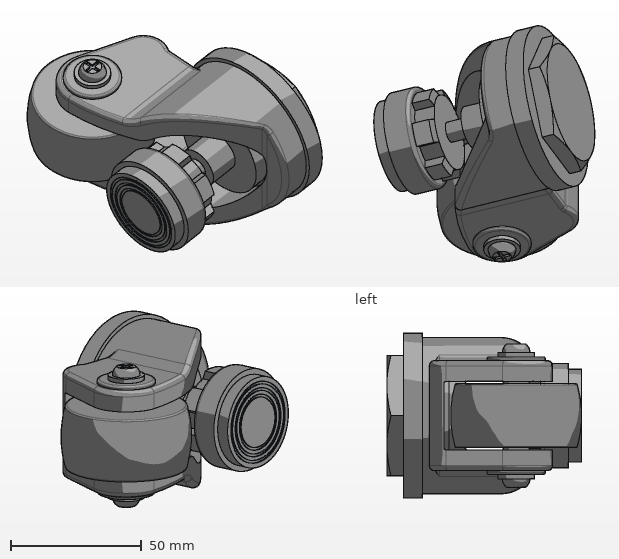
import cadquery as cq
import math


total_length = 104.5
cap_diameter = 63.0
wheel_radius = 25.0
wheel_x = cap_diameter / 2 + wheel_radius - total_length

hex_top = 49.3
cap_top = 43.1
cap_bottom = 35.7
hex_across_flats = 46
hex_bevel_angle = 24

housing_radius = 29.9
fork_half_width = 21.0
flare_radius = 9.8
fork_top = 31.2
edge_fillet = 2.0
arm_end_radius = 13.9
lobe_radius = 10.0
lobe_x = wheel_x + 5.1
lobe_y = 23.1
belly_start_angle = math.radians(1)
belly_middle = (-7.0, -0.8)
belly_end_x = 19.2
rear_bottom = 24
root_fillet = 2.1

slot_half_width = 13.1
slot_ceiling = 27.6
pocket_radius = 20.2
pocket_ceiling = 25.7
crown_radius = 20.8
slot_corner_fillet = 0.8
slot_mouth_fillet = 9.0

boss_radius = 19.0
boss_bottom = 19.3
collar_radius = 8.2
collar_bottom = 7.1
stem_radius = 4.0
knob_top = -1.1
knob_radius = 17.8
knob_core_radius = 14.6
knob_lobe_width = 9.0
knob_lobes = 6
knob_chamfer_height = 1.1
knob_chamfer_width = 2.9
foot_radius = 20.0
foot_top = -9.3
foot_fillet = 1.5
pad_radius = 17.8
pad_top = -20.0
pad_bottom = -wheel_radius
ring_groove_radii = (15.9, 13.4, 10.9)
ring_groove_width = 1
ring_groove_depth = 0.5

wheel_half_width = 12.2
wheel_side_radius = 23.2
wheel_edge_fillet = 0.7

spacer_radius = 5.0
washer_radius = 11.2
washer_top = 22.5
washer_fillet = 0.9
bolt_collar_radius = 7.0
bolt_collar_top = 24.1
bolt_head_radius = 5.3
bolt_head_flat_radius = 3.6
bolt_head_top = 27.4
bolt_head_bulge = 0.6
cross_length = 6.0
cross_width = 1.3
cross_depth = 0.8


def disc(radius, bottom, top):
    """Cylinder on the swivel axis between two heights along Y."""
    return cq.Workplane("XZ", origin=(0, top, 0)).circle(radius).extrude(top - bottom)


def axle_disc(radius, start, end):
    """Cylinder on the wheel axle between two positions along Z."""
    return cq.Workplane("XY", origin=(wheel_x, 0, start)).circle(radius).extrude(end - start)


def fork_side_shape():
    """Fork outline seen along the axle, extruded through the full housing width."""
    lobe_dx = lobe_x - wheel_x
    centre_distance = math.hypot(lobe_dx, lobe_y)
    centre_angle = math.atan2(lobe_y, lobe_dx)
    tangent_angle = centre_angle + math.acos((arm_end_radius - lobe_radius) / centre_distance)

    def on_arm(angle):
        return (wheel_x + arm_end_radius * math.cos(angle), arm_end_radius * math.sin(angle))

    def on_lobe(angle):
        return (lobe_x + lobe_radius * math.cos(angle), lobe_y + lobe_radius * math.sin(angle))

    lobe_end_angle = math.asin((fork_top - lobe_y) / lobe_radius)
    belly_angle = 1.5 * math.pi + belly_start_angle
    return (
        cq.Workplane("XY", origin=(0, 0, -housing_radius))
        .moveTo(housing_radius, fork_top)
        .lineTo(*on_lobe(lobe_end_angle))
        .threePointArc(on_lobe(math.pi / 2), on_lobe(tangent_angle))
        .lineTo(*on_arm(tangent_angle))
        .threePointArc(on_arm((tangent_angle + belly_angle) / 2), on_arm(belly_angle))
        .threePointArc(belly_middle, (belly_end_x, rear_bottom))
        .lineTo(housing_radius, rear_bottom)
        .close()
        .extrude(2 * housing_radius)
        .edges(cq.selectors.NearestToPointSelector((belly_end_x, rear_bottom, 0)))
        .fillet(root_fillet)
        .edges(cq.selectors.NearestToPointSelector((*on_lobe(lobe_end_angle), 0)))
        .fillet(root_fillet)
    )


def fork_plan_shape():
    """Fork outline seen along the swivel axis: straight arms flaring into the round housing."""
    flare_z = fork_half_width + flare_radius
    centre_reach = housing_radius + flare_radius
    flare_x = -math.sqrt(centre_reach**2 - flare_z**2)
    join = (flare_x * housing_radius / centre_reach, flare_z * housing_radius / centre_reach)
    arm_front = wheel_x - arm_end_radius
    middle_angle = (math.atan2(join[1] - flare_z, join[0] - flare_x) - math.pi / 2) / 2
    middle = (
        flare_x + flare_radius * math.cos(middle_angle),
        flare_z + flare_radius * math.sin(middle_angle),
    )
    return (
        cq.Workplane("XZ", origin=(0, hex_top, 0))
        .moveTo(arm_front, -fork_half_width)
        .lineTo(flare_x, -fork_half_width)
        .threePointArc((middle[0], -middle[1]), (join[0], -join[1]))
        .threePointArc((housing_radius, 0), join)
        .threePointArc(middle, (flare_x, fork_half_width))
        .lineTo(arm_front, fork_half_width)
        .close()
        .extrude(2 * hex_top)
    )


def housing():
    """Fork with rounded side edges, joined to the round housing under the cap."""
    fork = fork_side_shape().intersect(fork_plan_shape())
    fork = fork.edges("not (|Y or |Z)").fillet(edge_fillet)
    neck = disc(housing_radius, fork_top - edge_fillet, cap_bottom)
    return fork.union(neck).union(neck_root()).cut(slot_and_pocket())


def neck_root():
    """Concave fillet between the flat top of the fork and the round neck."""
    ring = (
        cq.Workplane("XY")
        .moveTo(housing_radius + root_fillet, fork_top)
        .radiusArc((housing_radius, fork_top + root_fillet), root_fillet)
        .lineTo(pocket_radius, fork_top + root_fillet)
        .lineTo(pocket_radius, fork_top)
        .close()
        .revolve(360, (0, 0), (0, 1))
    )
    flat_width = 2 * (fork_half_width - edge_fillet)
    over_fork = cq.Workplane("XY").box(-wheel_x, 2 * hex_top, flat_width)
    return ring.intersect(over_fork.translate((wheel_x / 2, 0, 0)))


def slot_block(bottom, top):
    """Block as wide as the wheel slot, reaching from beyond the arm ends to the swivel axis."""
    length = -2 * wheel_x
    block = cq.Workplane("XY").box(length, top - bottom, 2 * slot_half_width)
    return block.translate((-length / 2, (top + bottom) / 2, 0))


def slot_and_pocket():
    """Space for the wheel opening into the round swivel pocket, with a step in the slot ceiling."""
    lower = slot_block(-wheel_radius, pocket_ceiling)
    lower = lower.union(disc(pocket_radius, -wheel_radius, pocket_ceiling))
    mouth_x = -math.sqrt(pocket_radius**2 - slot_half_width**2)
    for side in (-1, 1):
        mouth = cq.selectors.NearestToPointSelector((mouth_x, 0, side * slot_half_width))
        lower = lower.edges("|Y").edges(mouth).fillet(slot_mouth_fillet)
    upper = slot_block(boss_bottom, slot_ceiling).edges("|X and >Y").fillet(slot_corner_fillet)
    return lower.union(upper.cut(disc(crown_radius, boss_bottom, slot_ceiling)))


def hex_nut():
    """Hexagonal nut with its top corners bevelled by a cone."""
    nut = (
        cq.Workplane("XZ", origin=(0, hex_top, 0))
        .polygon(6, hex_across_flats / math.cos(math.pi / 6))
        .extrude(hex_top - cap_top)
    )
    flat_radius = hex_across_flats / 2
    cone_radius = flat_radius + (hex_top - cap_top) / math.tan(math.radians(hex_bevel_angle))
    bevel = (
        cq.Workplane("XY")
        .polyline([(0, cap_top), (cone_radius, cap_top), (flat_radius, hex_top), (0, hex_top)])
        .close()
        .revolve(360, (0, 0), (0, 1))
    )
    return nut.intersect(bevel)


def knob():
    """Adjusting knob with straight-sided lobes; each bar forms two opposite lobes."""
    height = knob_top - foot_top
    body = disc(knob_core_radius, foot_top, knob_top)
    for index in range(knob_lobes // 2):
        bar = cq.Workplane("XY").box(knob_lobe_width, height, 2 * knob_radius)
        bar = bar.translate((0, (knob_top + foot_top) / 2, 0))
        body = body.union(bar.rotate((0, 0, 0), (0, 1, 0), index * 360 / knob_lobes))
    envelope = disc(knob_radius, foot_top, knob_top)
    envelope = envelope.faces(">Y").chamfer(knob_chamfer_height, knob_chamfer_width)
    return body.intersect(envelope)


def foot():
    """Round foot with a stepped pad and concentric grooves in its underside."""
    body = disc(foot_radius, pad_top, foot_top).faces(">Y").edges().fillet(foot_fillet)
    body = body.union(disc(pad_radius, pad_bottom, pad_top))
    for radius in ring_groove_radii:
        groove = disc(radius, pad_bottom, pad_bottom + ring_groove_depth)
        groove = groove.cut(disc(radius - ring_groove_width, pad_bottom, pad_top))
        body = body.cut(groove)
    return body


def swivel_stem():
    """Stepped stem from the cap down to the foot."""
    stem = disc(boss_radius, boss_bottom, cap_bottom)
    stem = stem.union(disc(collar_radius, collar_bottom, boss_bottom))
    return stem.union(disc(stem_radius, foot_top, collar_bottom))


def wheel():
    """Wheel with a crowned tread and rounded rims."""
    return (
        cq.Workplane("XZ", origin=(wheel_x, 0, 0))
        .moveTo(0, -wheel_half_width)
        .lineTo(wheel_side_radius, -wheel_half_width)
        .threePointArc((wheel_radius, 0), (wheel_side_radius, wheel_half_width))
        .lineTo(0, wheel_half_width)
        .close()
        .revolve(360, (0, 0), (0, 1))
        .faces("<Z or >Z")
        .edges()
        .fillet(wheel_edge_fillet)
    )


def axle_end():
    """Axle half with spacer, washer and cross-slotted bolt head on the +Z side of the wheel."""
    spacer = axle_disc(spacer_radius, 0, fork_half_width)
    washer = axle_disc(washer_radius, fork_half_width, washer_top).faces(">Z").edges().fillet(washer_fillet)
    collar = axle_disc(bolt_collar_radius, fork_half_width, bolt_collar_top)
    bulge_point = (
        (bolt_head_radius + bolt_head_flat_radius + bolt_head_bulge) / 2,
        (bolt_collar_top + bolt_head_top + bolt_head_bulge) / 2,
    )
    head = (
        cq.Workplane("XZ", origin=(wheel_x, 0, 0))
        .moveTo(0, bolt_collar_top)
        .lineTo(bolt_head_radius, bolt_collar_top)
        .threePointArc(bulge_point, (bolt_head_flat_radius, bolt_head_top))
        .lineTo(0, bolt_head_top)
        .close()
        .revolve(360, (0, 0), (0, 1))
    )
    cross_floor = cq.Workplane("XY", origin=(wheel_x, 0, bolt_head_top - cross_depth))
    for length_x, length_y in ((cross_length, cross_width), (cross_width, cross_length)):
        head = head.cut(cross_floor.rect(length_x, length_y).extrude(cross_depth))
    return spacer.union(washer).union(collar).union(head)


def axle():
    """Both ends of the axle, alike on either side of the wheel."""
    end = axle_end()
    return end.union(end.mirror("XY"))


result = (
    housing()
    .union(disc(cap_diameter / 2, cap_bottom, cap_top))
    .union(hex_nut())
    .union(swivel_stem())
    .union(knob())
    .union(foot())
    .union(wheel())
    .union(axle())
)